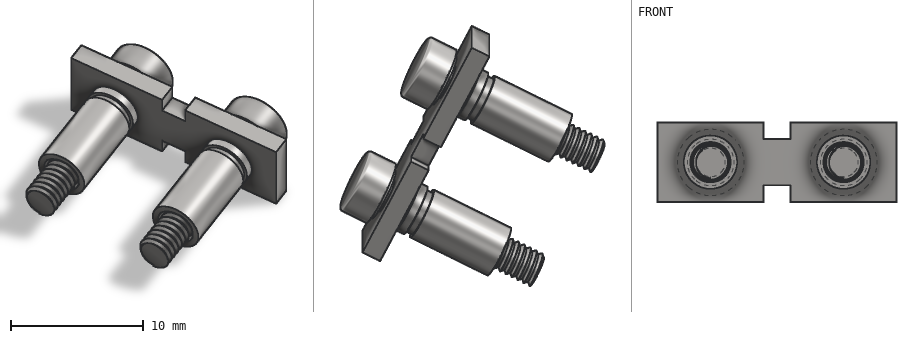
import cadquery as cq


PLATE_LENGTH = 18.0
PLATE_THICKNESS = 1.5
PLATE_HEIGHT = 6.0
NOTCH_WIDTH = 2.02
NOTCH_DEPTH = 1.25
SCREW_SPACING = 10.0
AXIAL_GAP = 0.25

SHANK_DIAMETER = 2.63
HEAD_DIAMETER = 5.0
HEAD_LENGTH = 2.25
HEAD_FILLET = 0.25
SHOULDER_LENGTH = 0.25
SCREW_LENGTH = 15.5
THREAD_LENGTH = 4.5
THREAD_TURNS = 9
THREAD_PITCH = THREAD_LENGTH / THREAD_TURNS
THREAD_DEPTH = 0.23
TURN_GAP = 0.01
GROOVE_OVERCUT = 0.009

SLEEVE_DIAMETER = 4.01
SLEEVE_LENGTH = 6.52
SLEEVE_BORE = 3.05
FLANGE_LENGTH = 0.68
NECK_DIAMETER = 3.51
NECK_LENGTH = 0.55
COLLAR_BORE = 2.83

plate_front = -PLATE_THICKNESS / 2
collar_start = plate_front - AXIAL_GAP
neck_start = collar_start - FLANGE_LENGTH
sleeve_start = neck_start - NECK_LENGTH
shoulder_face = PLATE_THICKNESS / 2 + AXIAL_GAP
screw_tip = shoulder_face + SHOULDER_LENGTH + HEAD_LENGTH - SCREW_LENGTH
screw_places = (-SCREW_SPACING / 2, SCREW_SPACING / 2)


def cylinder_toward_tip(diameter, start, length):
    """Cylinder on the Y axis that runs from start toward -Y."""
    return cq.Workplane("XZ", origin=(0, start, 0)).circle(diameter / 2).extrude(length)


def make_plate():
    plate = cq.Workplane("XY").box(PLATE_LENGTH, PLATE_THICKNESS, PLATE_HEIGHT)
    notch_centre = (PLATE_HEIGHT - NOTCH_DEPTH) / 2
    for side in (-1, 1):
        notch = cq.Workplane("XY").box(NOTCH_WIDTH, PLATE_THICKNESS, NOTCH_DEPTH)
        plate = plate.cut(notch.translate((0, 0, side * notch_centre)))
    for x in screw_places:
        hole = cylinder_toward_tip(SHANK_DIAMETER, PLATE_THICKNESS / 2, PLATE_THICKNESS)
        plate = plate.cut(hole.translate((x, 0, 0)))
    return plate


def make_thread_groove():
    """Right-hand V groove around +Z, starting on the +X side at height zero."""
    crest_radius = SHANK_DIAMETER / 2
    root_radius = crest_radius - THREAD_DEPTH
    outside_radius = crest_radius + GROOVE_OVERCUT
    half_width = (THREAD_PITCH - TURN_GAP) / 2
    helix = cq.Wire.makeHelix(THREAD_PITCH, THREAD_LENGTH, crest_radius)
    profile = cq.Workplane("XZ").polyline([
        (root_radius, 0),
        (outside_radius, half_width),
        (outside_radius, -half_width),
    ]).close()
    return profile.sweep(cq.Workplane(helix), isFrenet=True)


def make_screw():
    """Screw along +Z with its tip at height zero, then turned to lie along Y."""
    head_base = SCREW_LENGTH - HEAD_LENGTH
    shank = cq.Workplane("XY").circle(SHANK_DIAMETER / 2).extrude(head_base)
    groove = make_thread_groove().rotate((0, 0, 0), (0, 0, 1), 90)
    shank = shank.cut(groove.translate((0, 0, -THREAD_PITCH / 4)))

    shoulder_base = head_base - SHOULDER_LENGTH
    shoulder = (
        cq.Workplane("XY", origin=(0, 0, shoulder_base))
        .circle(SLEEVE_DIAMETER / 2)
        .extrude(SHOULDER_LENGTH)
    )
    head = (
        cq.Workplane("XY", origin=(0, 0, head_base))
        .circle(HEAD_DIAMETER / 2)
        .extrude(HEAD_LENGTH)
        .faces(">Z").edges().fillet(HEAD_FILLET)
    )
    screw = shank.union(shoulder).union(head)
    return screw.rotate((0, 0, 0), (1, 0, 0), -90).translate((0, screw_tip, 0))


def make_collar():
    """Ring with a flange toward the plate and a narrower neck toward the sleeve."""
    flange = cylinder_toward_tip(SLEEVE_DIAMETER, collar_start, FLANGE_LENGTH)
    neck = cylinder_toward_tip(NECK_DIAMETER, neck_start, NECK_LENGTH)
    bore = cylinder_toward_tip(COLLAR_BORE, collar_start, FLANGE_LENGTH + NECK_LENGTH)
    return flange.union(neck).cut(bore)


def make_sleeve():
    """Plain tube resting against the end of the collar neck."""
    tube = cylinder_toward_tip(SLEEVE_DIAMETER, sleeve_start, SLEEVE_LENGTH)
    bore = cylinder_toward_tip(SLEEVE_BORE, sleeve_start, SLEEVE_LENGTH)
    return tube.cut(bore)


plate = make_plate()
bodies = [plate.solids().val()]
for x in screw_places:
    for make_body in (make_screw, make_collar, make_sleeve):
        bodies.append(make_body().translate((x, 0, 0)).solids().val())

result = cq.Compound.makeCompound(bodies)